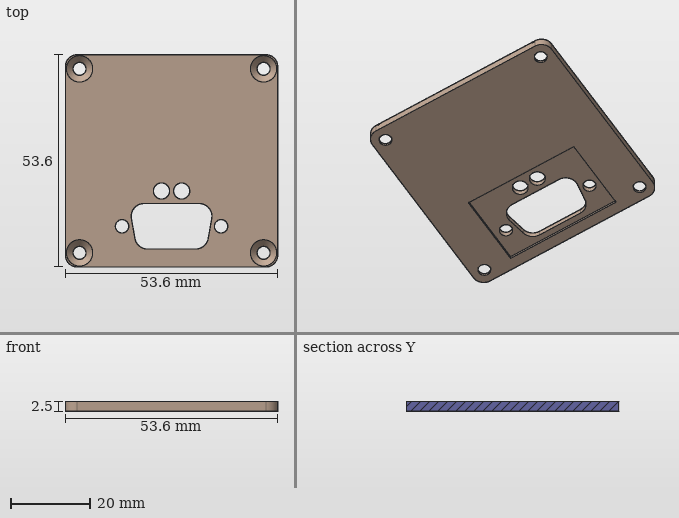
import cadquery as cq
import math

plate_side = 53.6
plate_thickness = 2.5
plate_corner_radius = 3.0

mount_pitch = 46.4
mount_hole_diameter = 3.2
countersink_diameter = 6.65
countersink_angle = 90.0

connector_y = -16.5
cutout_height = 11.4
cutout_mid_width = 19.5
cutout_side_tilt = 10.0
cutout_corner_radius = 3.15
screw_pitch = 24.95
screw_hole_diameter = 3.3

indicator_y = -7.6
indicator_pitch = 5.1
indicator_diameter = 4.0

recess_depth = 0.8
recess_margin = 1.6


def make_plate():
    """Square plate with rounded corners, standing on Z = 0."""
    return (
        cq.Workplane("XY")
        .box(plate_side, plate_side, plate_thickness, centered=(True, True, False))
        .edges("|Z")
        .fillet(plate_corner_radius)
    )


def make_connector_cutter():
    """Symmetric trapezoid prism, wider at +Y, with rounded corners."""
    half_height = cutout_height / 2
    half_mid_width = cutout_mid_width / 2
    side_shift = half_height * math.tan(math.radians(cutout_side_tilt))
    half_top = half_mid_width + side_shift
    half_bottom = half_mid_width - side_shift
    return (
        cq.Workplane("XY")
        .center(0, connector_y)
        .polyline([
            (-half_bottom, -half_height),
            (half_bottom, -half_height),
            (half_top, half_height),
            (-half_top, half_height),
        ])
        .close()
        .extrude(plate_thickness)
        .edges("|Z")
        .fillet(cutout_corner_radius)
    )


def make_recess_cutter():
    """Block under the plate, clear of every connector and indicator opening by the margin."""
    half_width = (screw_pitch + screw_hole_diameter) / 2 + recess_margin
    y_min = connector_y - cutout_height / 2 - recess_margin
    y_max = indicator_y + indicator_diameter / 2 + recess_margin
    return (
        cq.Workplane("XY")
        .center(0, (y_min + y_max) / 2)
        .rect(2 * half_width, y_max - y_min)
        .extrude(recess_depth)
    )


def drill_pair(body, pitch, y, diameter):
    """Drill two through holes placed evenly about X = 0."""
    return (
        body.faces(">Z")
        .workplane(origin=(0, 0, plate_thickness))
        .pushPoints([(-pitch / 2, y), (pitch / 2, y)])
        .hole(diameter)
    )


def drill_mounting_holes(body):
    """Drill the four corner holes, countersunk from the top face."""
    return (
        body.faces(">Z")
        .workplane(origin=(0, 0, plate_thickness))
        .rarray(mount_pitch, mount_pitch, 2, 2)
        .cskHole(mount_hole_diameter, countersink_diameter, countersink_angle)
    )


result = make_plate().cut(make_recess_cutter()).cut(make_connector_cutter())
result = drill_mounting_holes(result)
result = drill_pair(result, screw_pitch, connector_y, screw_hole_diameter)
result = drill_pair(result, indicator_pitch, indicator_y, indicator_diameter)